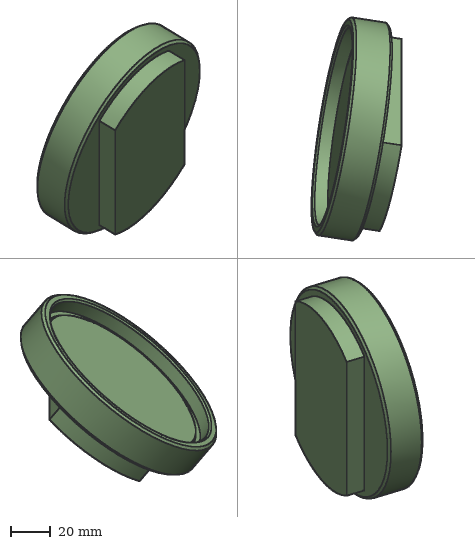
import cadquery as cq

body_radius = 55.8
body_length = 20.0
body_chamfer = 1.3

bore_radius = 50.5
bore_depth = 8.0
mouth_chamfer = 1.0

disc_radius = 47.9
disc_height = 1.0

tongue_radius = 51.0
tongue_width = 57.4
tongue_length = 10.0


def make_body():
    disc = cq.Workplane("YZ").circle(body_radius).extrude(body_length)
    return disc.edges().chamfer(body_chamfer)


def make_recess():
    bore = cq.Workplane("YZ").circle(bore_radius).extrude(bore_depth)
    mouth = cq.Workplane("YZ").circle(bore_radius + mouth_chamfer).extrude(2 * mouth_chamfer)
    mouth = mouth.faces(">X").edges().chamfer(mouth_chamfer)
    mouth = mouth.translate((-mouth_chamfer, 0, 0))
    return bore.union(mouth)


def make_raised_disc():
    disc = cq.Workplane("YZ", origin=(bore_depth - disc_height, 0, 0))
    disc = disc.circle(disc_radius).extrude(2 * disc_height)
    return disc.faces("<X").edges().chamfer(disc_height)


def make_tongue():
    back_face = cq.Workplane("YZ", origin=(body_length, 0, 0))
    disc = back_face.circle(tongue_radius).extrude(tongue_length)
    slab = back_face.rect(tongue_width, 2 * tongue_radius).extrude(tongue_length)
    return disc.intersect(slab)


result = make_body().cut(make_recess()).union(make_raised_disc()).union(make_tongue())